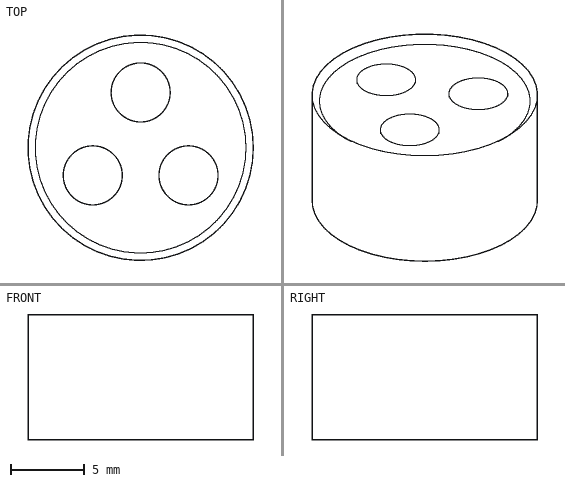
import cadquery as cq

outer_diameter = 15.3
height = 8.5
dish_depth = 0.5
hole_diameter = 4.0
hole_count = 3
hole_circle_radius = 3.75
first_hole_angle = 90.0

outer_radius = outer_diameter / 2
dish_floor_radius = outer_radius - dish_depth
dish_floor_height = height - dish_depth


def dished_body():
    """Round body with a shallow conical-walled dish in its top face."""
    return (
        cq.Workplane("XZ")
        .lineTo(outer_radius, 0)
        .lineTo(outer_radius, height)
        .lineTo(dish_floor_radius, dish_floor_height)
        .lineTo(0, dish_floor_height)
        .close()
        .revolve(360, (0, 0, 0), (0, 1, 0))
    )


def through_holes():
    """Evenly spaced cylinders that pass through the whole body."""
    return (
        cq.Workplane("XY")
        .polarArray(hole_circle_radius, first_hole_angle, 360, hole_count)
        .circle(hole_diameter / 2)
        .extrude(height)
    )


result = dished_body().cut(through_holes())